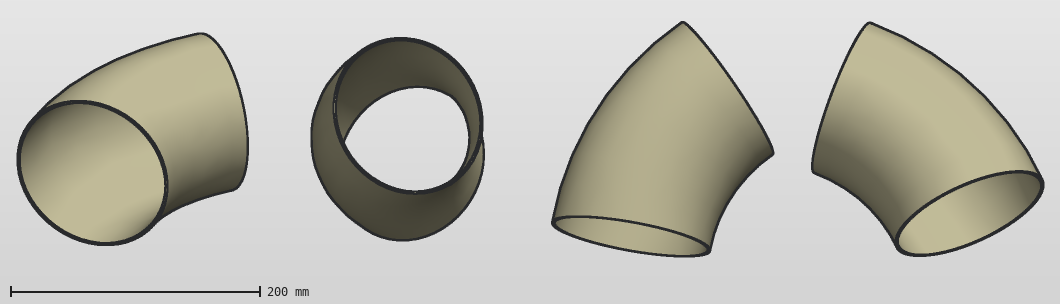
import cadquery as cq
import math

elbow_length = 178.2
outer_diameter = 129.0
wall_thickness = 2.0
bend_angle = 45.0

outer_radius = outer_diameter / 2
inner_radius = outer_radius - wall_thickness

bend_radius = elbow_length / math.sin(math.radians(bend_angle)) - outer_radius

result = (
    cq.Workplane("XZ")
    .circle(outer_radius)
    .circle(inner_radius)
    .revolve(bend_angle, (bend_radius, 1.8, 0), (bend_radius, 0, 0))
)